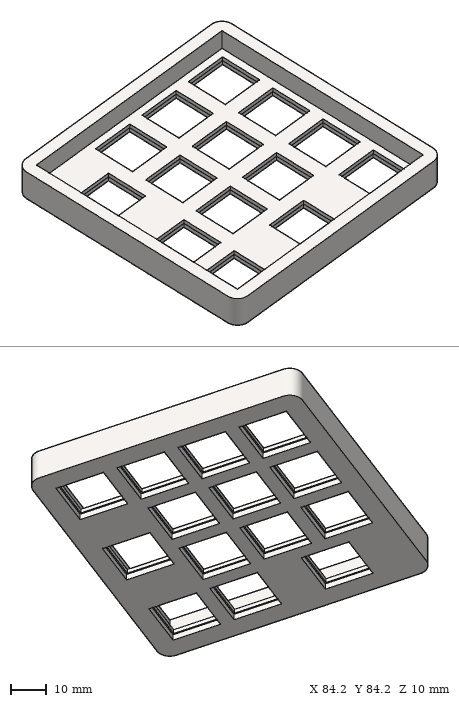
import cadquery as cq

KEY_PITCH = 19.05
GRID_KEYS = 4
SWITCH_CUTOUT = 14.0

WALL = 4.0
HEIGHT = 10.0
CORNER_RADIUS = 4.0
PLATE_TOP = 3.4

CLIP_LIP = 1.4
CLIP_RELIEF_DEPTH = 0.4

POCKET_SIZE = GRID_KEYS * KEY_PITCH
CASE_SIZE = POCKET_SIZE + 2 * WALL
RELIEF_SIZE = SWITCH_CUTOUT + 2 * CLIP_RELIEF_DEPTH

KEY_POSITIONS = [(column, 3) for column in range(GRID_KEYS)]
KEY_POSITIONS += [(column, row) for row in (1, 2) for column in range(3)]
KEY_POSITIONS += [(3, 1.5), (0.5, 0), (2, 0), (3, 0)]


def key_centre(column, row):
    """Centre of a key, with the grid centred on the origin."""
    middle = (GRID_KEYS - 1) / 2
    return ((column - middle) * KEY_PITCH, (row - middle) * KEY_PITCH)


def make_case():
    """Rounded square block with the keycap pocket open at the top."""
    block = (
        cq.Workplane("XY")
        .rect(CASE_SIZE, CASE_SIZE)
        .extrude(HEIGHT)
        .edges("|Z")
        .fillet(CORNER_RADIUS)
    )
    pocket = (
        cq.Workplane("XY")
        .workplane(offset=PLATE_TOP)
        .rect(POCKET_SIZE, POCKET_SIZE)
        .extrude(HEIGHT - PLATE_TOP)
    )
    return block.cut(pocket)


def make_switch_cutouts():
    """Square through openings, widened on all sides below the clip lip."""
    centres = [key_centre(column, row) for column, row in KEY_POSITIONS]
    openings = (
        cq.Workplane("XY")
        .pushPoints(centres)
        .rect(SWITCH_CUTOUT, SWITCH_CUTOUT)
        .extrude(PLATE_TOP)
    )
    reliefs = (
        cq.Workplane("XY")
        .pushPoints(centres)
        .rect(RELIEF_SIZE, RELIEF_SIZE)
        .extrude(PLATE_TOP - CLIP_LIP)
    )
    return openings.union(reliefs)


result = make_case().cut(make_switch_cutouts())